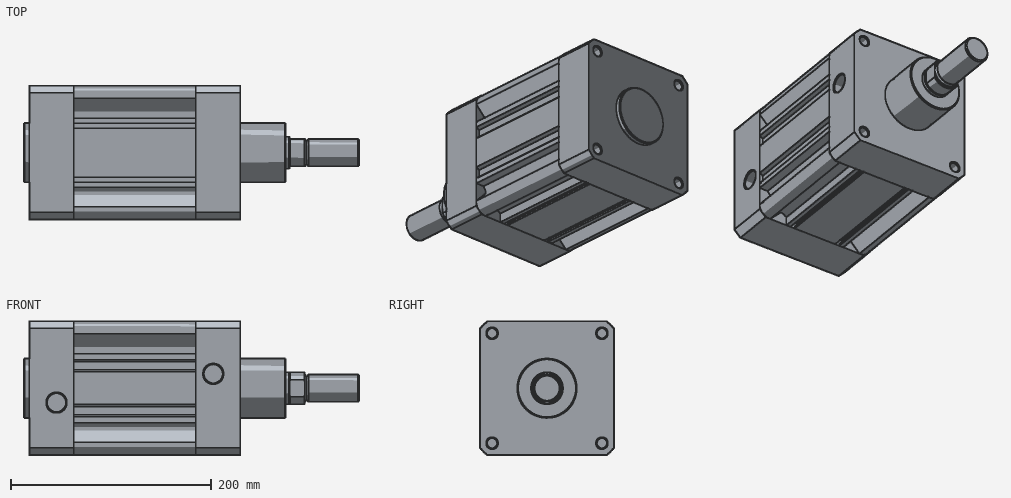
import cadquery as cq
import math


WIDTH = 134.0
HALF = WIDTH / 2
COVER_CORNER_RADIUS = 89.8

BOSS_LENGTH = 5.5
COVER_LENGTH = 44.5
BARREL_LENGTH = 122.0
HUB_LENGTH = 45.2
TOTAL_LENGTH = 335.0
REAR_FACE = BOSS_LENGTH
BARREL_START = REAR_FACE + COVER_LENGTH
BARREL_END = BARREL_START + BARREL_LENGTH
FRONT_FACE = BARREL_END + COVER_LENGTH
HUB_END = FRONT_FACE + HUB_LENGTH

BOSS_RADIUS = 29.8
BOSS_CHAMFER = 1.0

CORNER_OFFSET = 55.0
MOUNT_RADIUS = 5.0
MOUNT_CHAMFER = 1.0

PORT_RADIUS = 9.5
PORT_CHAMFER = 1.0
PORT_DEPTH = 20.0
PORT_HEIGHT = 14.5
PORT_FROM_BARREL = 17.5

COLUMN_RADIUS = HALF - CORNER_OFFSET
COLUMN_EDGE = 54.3
RAIL_EDGE = 34.5
RAIL_WALL = 9.7
CHANNEL_SLOPE = math.radians(33)
CHANNEL_FILLET = 3.7

SIDE_GROOVE_CENTRE = 22.5
SIDE_GROOVE_MOUTH = 12.5
SIDE_GROOVE_FLOOR = 8.0
SIDE_GROOVE_DEPTH = 3.7

SLOT_CENTRE = 27.0
SLOT_MOUTH = 5.0
SLOT_LIP = 2.5
SLOT_FLOOR = 9.7
SLOT_DEPTH = 7.5

ROD_RADIUS = 16.0
COLLAR_LENGTH = 4.0
COLLAR_GROOVE = 0.7
THREAD_RADIUS = 13.7
FLAT_START = HUB_END + COLLAR_LENGTH
SHOULDER = 280.7
SHOULDER_CHAMFER = 0.7
NECK_DEPTH = 2.0
TIP_CHAMFER = 1.5


def cylinder_x(radius, start, end):
    """Solid cylinder on the X axis."""
    return cq.Workplane("YZ").workplane(offset=start).circle(radius).extrude(end - start)


def chamfered_hole(origin, direction, radius, depth, chamfer):
    """Cutter for a blind hole with a 45 degree mouth chamfer."""
    profile = [
        (0, 0),
        (radius + chamfer, 0),
        (radius, chamfer),
        (radius, depth),
        (0, depth),
    ]
    axis = cq.Vector(direction)
    across = cq.Vector(0, 0, 1)
    plane = cq.Plane(origin=origin, xDir=across, normal=across.cross(axis))
    return cq.Workplane(plane).polyline(profile).close().revolve(360, (0, 0), (0, 1))


def cover(start, outer_face, inward, port_x, port_z):
    """Square cover block, its corners rounded about the X axis, with corner mounting holes and an air port."""
    block = cq.Workplane("YZ").workplane(offset=start).rect(WIDTH, WIDTH).extrude(COVER_LENGTH)
    block = block.intersect(cylinder_x(COVER_CORNER_RADIUS, start, start + COVER_LENGTH))
    for y in (-CORNER_OFFSET, CORNER_OFFSET):
        for z in (-CORNER_OFFSET, CORNER_OFFSET):
            mount = chamfered_hole(
                (outer_face, y, z),
                (inward, 0, 0),
                MOUNT_RADIUS,
                COVER_LENGTH,
                MOUNT_CHAMFER,
            )
            block = block.cut(mount)
    port = chamfered_hole(
        (port_x, -HALF, port_z),
        (0, 1, 0),
        PORT_RADIUS,
        PORT_DEPTH,
        PORT_CHAMFER,
    )
    return block.cut(port)


def make_rear_cover():
    block = cover(REAR_FACE, REAR_FACE, 1, BARREL_START - PORT_FROM_BARREL, -PORT_HEIGHT)
    boss = cylinder_x(BOSS_RADIUS, 0, REAR_FACE).faces("<X").chamfer(BOSS_CHAMFER)
    return block.union(boss)


def make_front_cover():
    block = cover(BARREL_END, FRONT_FACE, -1, BARREL_END + PORT_FROM_BARREL, PORT_HEIGHT)
    hub = cylinder_x(BOSS_RADIUS, FRONT_FACE, HUB_END).faces(">X").chamfer(BOSS_CHAMFER)
    return block.union(hub)


def barrel_prism(points):
    """Prism over the barrel length from an outline in Y and Z."""
    return cq.Workplane("YZ").workplane(offset=BARREL_START).polyline(points).close().extrude(BARREL_LENGTH)


def channel_cutter():
    """Channel beside the +Y +Z column, open to +Z."""
    slope = math.tan(CHANNEL_SLOPE)
    bottom = RAIL_EDGE + (COLUMN_EDGE - RAIL_EDGE - RAIL_WALL) / (1 + slope)
    depth = COLUMN_EDGE - bottom
    points = [
        (RAIL_EDGE, HALF),
        (RAIL_EDGE, HALF - RAIL_WALL),
        (bottom, HALF - depth),
        (COLUMN_EDGE, HALF),
    ]
    lowest = cq.selectors.NearestToPointSelector((BARREL_START + BARREL_LENGTH / 2, bottom, HALF - depth))
    return barrel_prism(points).edges(lowest).fillet(CHANNEL_FILLET)


def side_groove_cutter():
    """Flat-bottomed groove with sloping walls, open to +Y."""
    floor = HALF - SIDE_GROOVE_DEPTH
    return barrel_prism([
        (HALF, SIDE_GROOVE_CENTRE - SIDE_GROOVE_MOUTH / 2),
        (HALF, SIDE_GROOVE_CENTRE + SIDE_GROOVE_MOUTH / 2),
        (floor, SIDE_GROOVE_CENTRE + SIDE_GROOVE_FLOOR / 2),
        (floor, SIDE_GROOVE_CENTRE - SIDE_GROOVE_FLOOR / 2),
    ])


def t_slot_cutter():
    """T-slot open to +Z."""
    lip = HALF - SLOT_LIP
    floor = HALF - SLOT_DEPTH
    mouth_in = SLOT_CENTRE - SLOT_MOUTH / 2
    mouth_out = SLOT_CENTRE + SLOT_MOUTH / 2
    floor_in = SLOT_CENTRE - SLOT_FLOOR / 2
    floor_out = SLOT_CENTRE + SLOT_FLOOR / 2
    return barrel_prism([
        (mouth_in, HALF),
        (mouth_in, lip),
        (floor_in, lip),
        (floor_in, floor),
        (floor_out, floor),
        (floor_out, lip),
        (mouth_out, lip),
        (mouth_out, HALF),
    ])


def make_barrel():
    body = cq.Workplane("YZ").workplane(offset=BARREL_START).rect(WIDTH, WIDTH).extrude(BARREL_LENGTH)
    body = body.edges("|X").fillet(COLUMN_RADIUS)

    z_channel = channel_cutter()
    y_channel = z_channel.rotate((0, 0, 0), (1, 0, 0), 90).mirror("XZ")
    for cutter in (z_channel, y_channel, side_groove_cutter(), t_slot_cutter()):
        for side in (cutter, cutter.mirror("XZ")):
            body = body.cut(side).cut(side.mirror("XY"))
    return body


def make_piston_rod():
    """Turned rod with a collar, two wrench flats, a V neck and a threaded end."""
    neck = SHOULDER + NECK_DEPTH
    rod = (
        cq.Workplane("XY")
        .polyline([
            (HUB_END, 0),
            (HUB_END, ROD_RADIUS),
            (FLAT_START - COLLAR_GROOVE, ROD_RADIUS),
            (FLAT_START, ROD_RADIUS - COLLAR_GROOVE),
            (FLAT_START + COLLAR_GROOVE, ROD_RADIUS),
            (SHOULDER - SHOULDER_CHAMFER, ROD_RADIUS),
            (SHOULDER, ROD_RADIUS - SHOULDER_CHAMFER),
            (SHOULDER, THREAD_RADIUS),
            (neck, THREAD_RADIUS - NECK_DEPTH),
            (neck + NECK_DEPTH, THREAD_RADIUS),
            (TOTAL_LENGTH - TIP_CHAMFER, THREAD_RADIUS),
            (TOTAL_LENGTH, THREAD_RADIUS - TIP_CHAMFER),
            (TOTAL_LENGTH, 0),
        ])
        .close()
        .revolve(360, (0, 0), (1, 0))
    )
    flat = cq.Workplane("XY").box(
        SHOULDER - FLAT_START,
        ROD_RADIUS - THREAD_RADIUS,
        2 * ROD_RADIUS,
        centered=(False, False, True),
    )
    flat = flat.translate((FLAT_START, THREAD_RADIUS, 0))
    return rod.cut(flat).cut(flat.mirror("XZ"))


rear_cover = make_rear_cover()
barrel = make_barrel()
front_cover = make_front_cover()
piston_rod = make_piston_rod()

result = cq.Compound.makeCompound([
    rear_cover.val(),
    barrel.val(),
    front_cover.val(),
    piston_rod.val(),
])